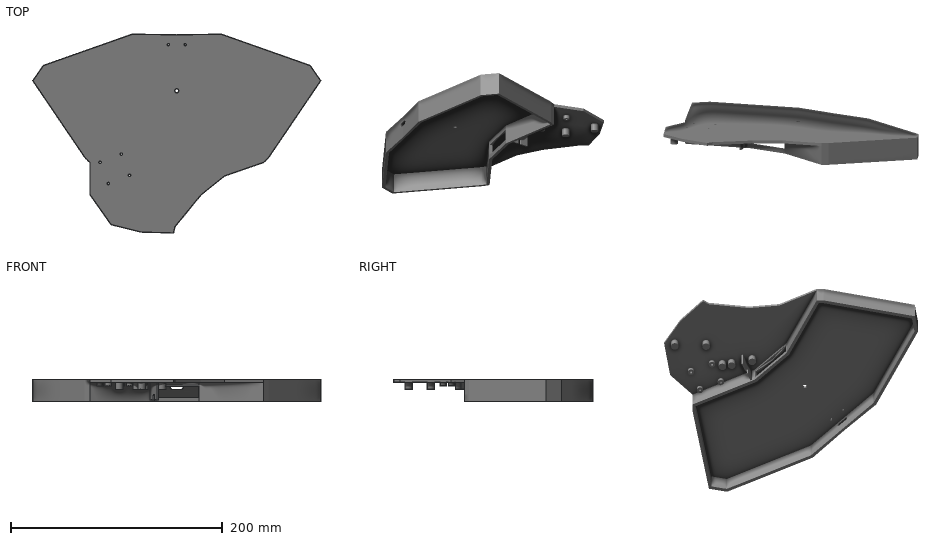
import cadquery as cq
import math


total_height = 21.0
plate_thickness = 2.7
plate_bottom = total_height - plate_thickness

half_width = 136.0
tip_y = 77.2
shoulder_x, shoulder_y = 125.8, 91.5
back_x, back_y = 41.9, 121.2
back_dip = 0.68
side_end_x, side_end_y = 86.7, 4.5
front_corner_x = 82.0
recess_half_width = 21.0
recess_y = 21.5
wall_thickness = 3.0

lobe_edge = [
    (-front_corner_x, -30.2),
    (-62.0, -58.7),
    (-33.5, -65.8),
    (-3.0, -66.5),
    (-1.5, -60.5),
    (22.8, -30.7),
    (45.0, -12.8),
]

window_width = 40.8
window_bottom = 4.0
window_top = 14.0
groove_height = 1.5
groove_depth = 2.5

slot_width = 12.2
slot_height = 4.0
slot_z = 13.5

centre_hole_diameter = 3.5
centre_hole_y = 67.7
back_hole_diameter = 1.85
back_hole_x, back_hole_y = 8.0, 111.1

standoff_diameter = 6.0
standoff_length = 3.3
standoff_hole_diameter = 2.1
standoff_spacing = 21.5
standoff_centre = (-58.5, -6.0)
standoff_turn = 21.2

post_diameter = 7.0
post_length = 6.5
post_centres = [(-54.0, -52.5), (-33.2, -31.5), (-37.8, -5.0), (-30.7, 0.3), (-13.9, 11.0)]

rib_x = -25.0
rib_length = 19.8
rib_thickness = 1.4
rib_bottom = 1.5
rib_notch_width = 3.0
rib_notch_height = 5.2

front_slope = recess_y / (front_corner_x - recess_half_width)
front_angle = math.degrees(math.atan(front_slope))

right_side = [
    (front_corner_x, 0),
    (side_end_x, side_end_y),
    (half_width, tip_y),
    (shoulder_x, shoulder_y),
    (back_x, back_y),
]
left_side = [(-x, y) for x, y in reversed(right_side)]
case_back = right_side + [(0, back_y - back_dip)] + left_side
case_front = [(-recess_half_width, recess_y), (recess_half_width, recess_y)]


def prism(points, bottom, height):
    return cq.Workplane("XY").workplane(offset=bottom).polyline(points).close().extrude(height)


def hanging_pins(centres, diameter, length):
    """Round pins below the plate, sunk into it so that they join."""
    pins = cq.Workplane("XY").workplane(offset=plate_bottom - length).pushPoints(centres)
    return pins.circle(diameter / 2).extrude(length + plate_thickness / 2)


def through_holes(centres, diameter):
    return cq.Workplane("XY").pushPoints(centres).circle(diameter / 2).extrude(total_height)


def make_walls():
    """Ring of walls, open below and flat inside at the back, with the window, groove and connector slot."""
    straight_backed = right_side + left_side + case_front
    cavity = cq.Workplane("XY").polyline(straight_backed).close().offset2D(-wall_thickness, "intersection")
    walls = prism(case_back + case_front, 0, plate_bottom).cut(cavity.extrude(plate_bottom))
    cutter_depth = 4 * wall_thickness
    window_height = window_top - window_bottom
    window = cq.Workplane("XY").box(window_width, cutter_depth, window_height)
    window = window.translate((0, recess_y, window_bottom + window_height / 2))
    groove = prism(case_front + [(0, recess_y + groove_depth)], window_top, groove_height)
    slot = (
        cq.Workplane("XZ", origin=(0, back_y - cutter_depth / 2, slot_z))
        .slot2D(slot_width, slot_height)
        .extrude(-cutter_depth)
    )
    return walls.cut(window).cut(groove).cut(slot)


def make_rib():
    """Rib along local -Y from the front wall, with a round-topped notch in its lower edge."""
    rib_height = plate_bottom - rib_bottom
    rib = cq.Workplane("XY").box(rib_thickness, rib_length + wall_thickness, rib_height, centered=False)
    rib = rib.translate((0, -rib_length, rib_bottom))
    notch = (
        cq.Workplane("YZ", origin=(0, -rib_length / 2, rib_bottom))
        .slot2D(2 * rib_notch_height, rib_notch_width, 90)
        .extrude(rib_thickness)
    )
    wall_y = (rib_x + front_corner_x) * front_slope
    return rib.cut(notch).rotate((0, 0, 0), (0, 0, 1), front_angle).translate((rib_x, wall_y, 0))


def standoff_centres():
    reach = standoff_spacing / math.sqrt(2)
    centres = []
    for quarter in range(4):
        angle = math.radians(standoff_turn + 45 + 90 * quarter)
        x = standoff_centre[0] + reach * math.cos(angle)
        y = standoff_centre[1] + reach * math.sin(angle)
        centres.append((x, y))
    return centres


plate = prism(case_back + lobe_edge, plate_bottom, plate_thickness)
standoffs = standoff_centres()

result = (
    plate.union(make_walls())
    .union(make_rib())
    .union(hanging_pins(standoffs, standoff_diameter, standoff_length))
    .union(hanging_pins(post_centres, post_diameter, post_length))
    .cut(through_holes(standoffs, standoff_hole_diameter))
    .cut(through_holes([(0, centre_hole_y)], centre_hole_diameter))
    .cut(through_holes([(-back_hole_x, back_hole_y), (back_hole_x, back_hole_y)], back_hole_diameter))
)